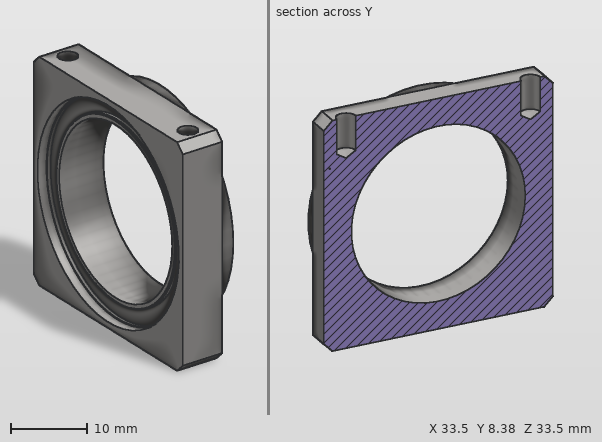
import cadquery as cq
import math

plate_side = 33.53
plate_thickness = 6.37
corner_chamfer = 1.27

total_depth = 8.38
flange_radius = 16.5
bore_radius = 12.67

recess_depth = 2.0
wall_step = 0.15
step_depth = 1.45
recess_outer_radius = 15.9
lip_radius = 13.4
lip_face_depth = 1.2
lip_step_depth = 1.45

hole_diameter = 2.75
hole_offset_x = 13.48
hole_depth = 5.03
drill_point_angle = 118.0


def make_plate():
    """Square plate with its four corners chamfered."""
    plate = cq.Workplane("XY").box(plate_side, plate_thickness, plate_side, centered=(True, False, True))
    return plate.edges("|Y").chamfer(corner_chamfer)


def cylinder_along_y(radius, start, end):
    """Solid cylinder on the Y axis between two Y positions."""
    return cq.Workplane("XZ", origin=(0, start, 0)).circle(radius).extrude(start - end)


def make_recess():
    """Ring cutter that leaves a low stepped lip around the bore."""
    profile = [
        (0, 0),
        (recess_outer_radius, 0),
        (recess_outer_radius, step_depth),
        (recess_outer_radius - wall_step, step_depth),
        (recess_outer_radius - wall_step, recess_depth),
        (lip_radius, recess_depth),
        (lip_radius, lip_step_depth),
        (lip_radius - wall_step, lip_step_depth),
        (lip_radius - wall_step, lip_face_depth),
        (0, lip_face_depth),
    ]
    return cq.Workplane("XY").polyline(profile).close().revolve(360, (0, 0, 0), (0, 1, 0))


def make_drilled_hole(x):
    """Blind hole with a conical end, drilled down from the top side."""
    radius = hole_diameter / 2
    point_length = radius / math.tan(math.radians(drill_point_angle / 2))
    profile = [(0, 0), (radius, 0), (radius, -hole_depth), (0, -hole_depth - point_length)]
    hole = cq.Workplane("XZ").polyline(profile).close().revolve(360, (0, 0, 0), (0, 1, 0))
    return hole.translate((x, plate_thickness / 2, plate_side / 2))


result = make_plate().union(cylinder_along_y(flange_radius, plate_thickness, total_depth))
result = result.cut(cylinder_along_y(bore_radius, 0, total_depth))
result = result.cut(make_recess())
for side in (-1, 1):
    result = result.cut(make_drilled_hole(side * hole_offset_x))